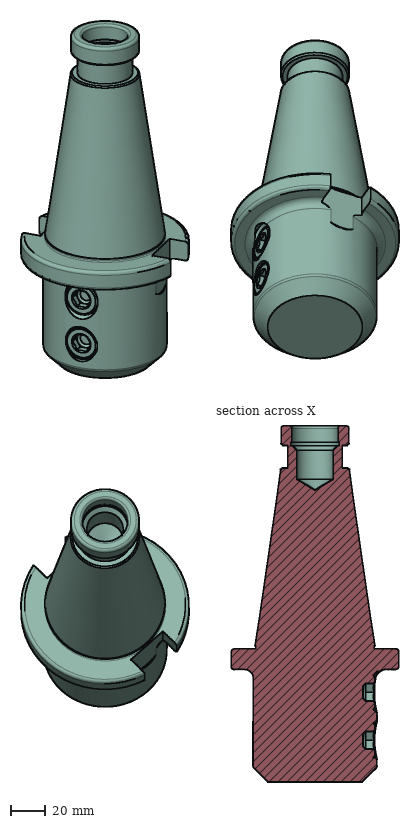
import cadquery as cq
import math


total_height = 206.8
flange_bottom = 65.1
flange_top = 77.3
taper_bottom = 79.2
taper_top = 182.2
knob_bottom = 195.2

body_radius = 36.0
flange_radius = 48.8
groove_radius = 34.5
taper_large_radius = 35.0
taper_ratio = 7 / 24
taper_small_radius = taper_large_radius - (taper_top - taper_bottom) * taper_ratio / 2
neck_radius = 16.03
knob_radius = 19.9

nose_chamfer = 8.5
nose_fillet = 2.0
flange_fillet = 2.0
flange_root_fillet = 4.8
groove_fillet = 0.6
taper_top_chamfer = 0.8
knob_top_fillet = 1.9
knob_bottom_chamfer = 1.0

bore_radius = 13.2
bore_depth = 11.5
bore_mouth_fillet = 1.5
relief_radius = 13.9
relief_width = 1.9
thread_radius = 10.5
thread_depth = 31.0
thread_point_angle = 118.0

slot_width = 25.6
slot_floor = 35.25
slot_lowest = 48.4
slot_overrun = 2.0

screw_radius = 10.0
screw_chamfer = 1.0
screw_face = 34.7
mouth_reach = 6.2
lower_screw_height = 24.2
lower_mouth_radius = 11.0
upper_screw_height = 52.1
upper_mouth_radius = 11.9

hex_across_flats = 10.0
hex_depth = 5.4
hex_mouth_radius = 6.0
hex_mouth_depth = 1.0
hex_floor_radius = 3.5

selection_margin = 0.1
arc_inset = 1 - math.sqrt(0.5)


def revolve_about_z(outline):
    return outline.close().revolve(360, (0, 0, 0), (0, 1, 0))


def rim(radius, height):
    """Selector for the circular edges at a height, up to the given radius."""
    reach = radius + selection_margin
    return cq.selectors.BoxSelector(
        (-reach, -reach, height - selection_margin),
        (reach, reach, height + selection_margin),
        boundingbox=True,
    )


def turned_body():
    root_radius = body_radius + flange_root_fillet
    root_inset = flange_root_fillet * arc_inset
    outline = (
        cq.Workplane("XZ")
        .lineTo(body_radius - nose_chamfer, 0)
        .lineTo(body_radius, nose_chamfer)
        .lineTo(body_radius, flange_bottom - flange_root_fillet)
        .threePointArc(
            (body_radius + root_inset, flange_bottom - root_inset),
            (root_radius, flange_bottom),
        )
        .lineTo(flange_radius, flange_bottom)
        .lineTo(flange_radius, flange_top)
        .lineTo(groove_radius, flange_top)
        .lineTo(groove_radius, taper_bottom)
        .lineTo(taper_large_radius, taper_bottom)
        .lineTo(taper_small_radius, taper_top)
        .lineTo(neck_radius, taper_top)
        .lineTo(neck_radius, knob_bottom)
        .lineTo(knob_radius, knob_bottom)
        .lineTo(knob_radius, total_height)
        .lineTo(0, total_height)
    )
    body = revolve_about_z(outline)

    nose_rim = rim(body_radius, nose_chamfer)
    flange_top_rim = rim(flange_radius, flange_top) - rim(groove_radius, flange_top)
    flange_bottom_rim = rim(flange_radius, flange_bottom) - rim(root_radius, flange_bottom)
    groove_corner = rim(groove_radius, flange_top)
    taper_top_rim = rim(taper_small_radius, taper_top) - rim(neck_radius, taper_top)
    knob_bottom_rim = rim(knob_radius, knob_bottom) - rim(neck_radius, knob_bottom)
    knob_top_rim = rim(knob_radius, total_height)

    body = body.edges(nose_rim).fillet(nose_fillet)
    body = body.edges(flange_top_rim).fillet(flange_fillet)
    body = body.edges(flange_bottom_rim).fillet(flange_fillet)
    body = body.edges(groove_corner).fillet(groove_fillet)
    body = body.edges(taper_top_rim).chamfer(taper_top_chamfer)
    body = body.edges(knob_bottom_rim).chamfer(knob_bottom_chamfer)
    return body.edges(knob_top_rim).fillet(knob_top_fillet)


def top_bore():
    bore_floor = total_height - bore_depth
    cone_bottom = bore_floor - (bore_radius - thread_radius)
    thread_floor = total_height - thread_depth
    point_height = thread_radius / math.tan(math.radians(thread_point_angle / 2))
    mouth_inset = bore_mouth_fillet * arc_inset
    outline = (
        cq.Workplane("XZ")
        .moveTo(0, total_height)
        .lineTo(bore_radius + bore_mouth_fillet, total_height)
        .threePointArc(
            (bore_radius + mouth_inset, total_height - mouth_inset),
            (bore_radius, total_height - bore_mouth_fillet),
        )
        .lineTo(bore_radius, bore_floor + relief_width)
        .lineTo(relief_radius, bore_floor + relief_width)
        .lineTo(relief_radius, bore_floor)
        .lineTo(bore_radius, bore_floor)
        .lineTo(thread_radius, cone_bottom)
        .lineTo(thread_radius, thread_floor)
        .lineTo(0, thread_floor - point_height)
    )
    return revolve_about_z(outline)


def drive_slots():
    """Slots through the flange, each with a round lower end and a flat floor."""
    end_radius = slot_width / 2
    end_height = slot_lowest + end_radius
    slot_top = flange_top + slot_overrun
    slot = (
        cq.Workplane("YZ", origin=(slot_floor, 0, 0))
        .moveTo(-end_radius, slot_top)
        .lineTo(-end_radius, end_height)
        .threePointArc((0, slot_lowest), (end_radius, end_height))
        .lineTo(end_radius, slot_top)
        .close()
        .extrude(flange_radius)
    )
    return slot.union(slot.mirror("YZ"))


def cone_along_y(start_radius, end_radius, length, start_y, height):
    cone = cq.Solid.makeCone(
        start_radius,
        end_radius,
        length,
        pnt=cq.Vector(0, start_y, height),
        dir=cq.Vector(0, 1, 0),
    )
    return cq.Workplane(cone)


def hex_socket(height):
    flat_radius = hex_across_flats / 2
    corner_diameter = hex_across_flats / math.cos(math.pi / 6)
    socket = (
        cq.Workplane("XZ", origin=(0, -screw_face, height))
        .polygon(6, corner_diameter)
        .extrude(-hex_depth)
    )
    mouth = cone_along_y(
        hex_mouth_radius, hex_mouth_radius - hex_mouth_depth, hex_mouth_depth, -screw_face, height
    )
    floor = cone_along_y(
        flat_radius, hex_floor_radius, flat_radius - hex_floor_radius, hex_depth - screw_face, height
    )
    return socket.union(mouth).union(floor)


def screw_recess(height, mouth_radius):
    """Space in front of a screw: a 45 degree mouth, the chamfered screw end and its socket."""
    mouth_depth = mouth_radius - screw_radius
    outer_end = body_radius + mouth_reach
    recess = (
        cq.Workplane("XY", origin=(0, 0, height))
        .moveTo(0, -screw_face)
        .lineTo(screw_radius - screw_chamfer, -screw_face)
        .lineTo(screw_radius, screw_chamfer - screw_face)
        .lineTo(screw_radius, mouth_depth - body_radius)
        .lineTo(mouth_radius, -body_radius)
        .lineTo(mouth_radius, -outer_end)
        .lineTo(0, -outer_end)
        .close()
        .revolve(360, (0, 0, 0), (0, 1, 0))
    )
    return recess.union(hex_socket(height))


result = turned_body().cut(top_bore()).cut(drive_slots())
result = result.cut(screw_recess(lower_screw_height, lower_mouth_radius))
result = result.cut(screw_recess(upper_screw_height, upper_mouth_radius))